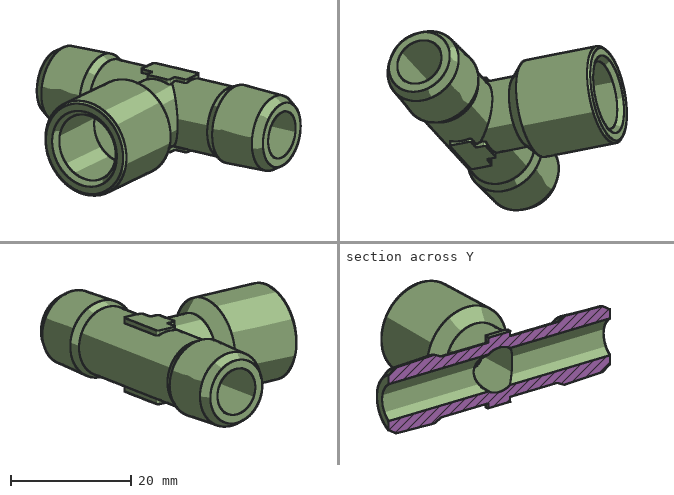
import cadquery as cq
import math

run_length = 46.0
body_diameter = 12.0
bore_diameter = 8.0

thread_major_diameter = 13.157

spigot_tip_diameter = 11.0
spigot_gauge_length = 6.0
taper_ratio = 1 / 16
tip_chamfer_length = 1.6
taper_end = 9.5
spigot_end = 11.0

branch_length = 24.5
shoulder_start = 9.0
socket_outer_diameter = 16.5
rim_chamfer = 0.4
socket_bore_diameter = 11.45
socket_depth = 11.0
drill_point_angle = 90.0

pad_height = 6.45
pad_bar_width = 9.3
pad_stem_width = 4.6
pad_back_y = 2.35
pad_step_y = -1.5
pad_front_y = -3.2
pad_outer_corner_radius = 0.4
pad_inner_corner_radius = 0.2

half_run = run_length / 2
body_radius = body_diameter / 2
bore_radius = bore_diameter / 2


def taper_radius(distance):
    """Radius of the tapered spigot at a distance from its end face."""
    return (thread_major_diameter + (distance - spigot_gauge_length) * taper_ratio) / 2


def make_run():
    """Solid of revolution about X with a spigot at each end."""
    left_profile = [
        (-half_run, spigot_tip_diameter / 2),
        (-half_run + tip_chamfer_length, taper_radius(tip_chamfer_length)),
        (-half_run + taper_end, taper_radius(taper_end)),
        (-half_run + spigot_end, body_radius),
    ]
    right_profile = [(-x, radius) for x, radius in reversed(left_profile)]
    outline = [(-half_run, 0)] + left_profile + right_profile + [(half_run, 0)]
    return cq.Workplane("XY").polyline(outline).close().revolve(360, (0, 0), (1, 0))


def revolve_about_y(outline):
    """Revolve (radius, distance along -Y) points about the branch axis."""
    points = [(radius, -distance) for radius, distance in outline]
    return cq.Workplane("XY").polyline(points).close().revolve(360, (0, 0), (0, 1))


def make_branch():
    """Neck, 45 degree shoulder and socket with a chamfered rim."""
    socket_radius = socket_outer_diameter / 2
    shoulder_end = shoulder_start + socket_radius - body_radius
    return revolve_about_y([
        (0, 0),
        (body_radius, 0),
        (body_radius, shoulder_start),
        (socket_radius, shoulder_end),
        (socket_radius, branch_length - rim_chamfer),
        (socket_radius - rim_chamfer, branch_length),
        (0, branch_length),
    ])


def make_branch_bore():
    """Socket bore with a 45 degree mouth and a drill point down to the small bore."""
    socket_radius = socket_bore_diameter / 2
    mouth_radius = thread_major_diameter / 2
    mouth_depth = mouth_radius - socket_radius
    socket_floor = branch_length - socket_depth
    half_point_angle = math.radians(drill_point_angle / 2)
    drill_point_length = (socket_radius - bore_radius) / math.tan(half_point_angle)
    return revolve_about_y([
        (0, 0),
        (bore_radius, 0),
        (bore_radius, socket_floor - drill_point_length),
        (socket_radius, socket_floor),
        (socket_radius, branch_length - mouth_depth),
        (mouth_radius, branch_length),
        (0, branch_length),
    ])


def make_pad_block(width, front_y):
    """Rectangular block from the shared back edge of the T to front_y, through both pad faces."""
    depth = pad_back_y - front_y
    center_y = (pad_back_y + front_y) / 2
    return cq.Workplane("XY").center(0, center_y).rect(width, depth).extrude(pad_height, both=True)


def make_pads():
    """T-shaped block through the junction; its two ends stand proud as pads."""
    bar = make_pad_block(pad_bar_width, pad_step_y).edges("|Z").fillet(pad_outer_corner_radius)
    stem = make_pad_block(pad_stem_width, pad_front_y).edges("|Z and <Y").fillet(pad_outer_corner_radius)
    block = bar.union(stem)
    reach = pad_stem_width / 2 + pad_inner_corner_radius
    inner_corners = cq.selectors.BoxSelector(
        (-reach, pad_step_y - pad_inner_corner_radius, -pad_height / 2),
        (reach, pad_step_y + pad_inner_corner_radius, pad_height / 2),
    )
    return block.edges("|Z").edges(inner_corners).fillet(pad_inner_corner_radius)


run_bore = cq.Workplane("YZ").circle(bore_radius).extrude(half_run, both=True)

body = make_run().union(make_branch()).union(make_pads())
result = body.cut(run_bore).cut(make_branch_bore())